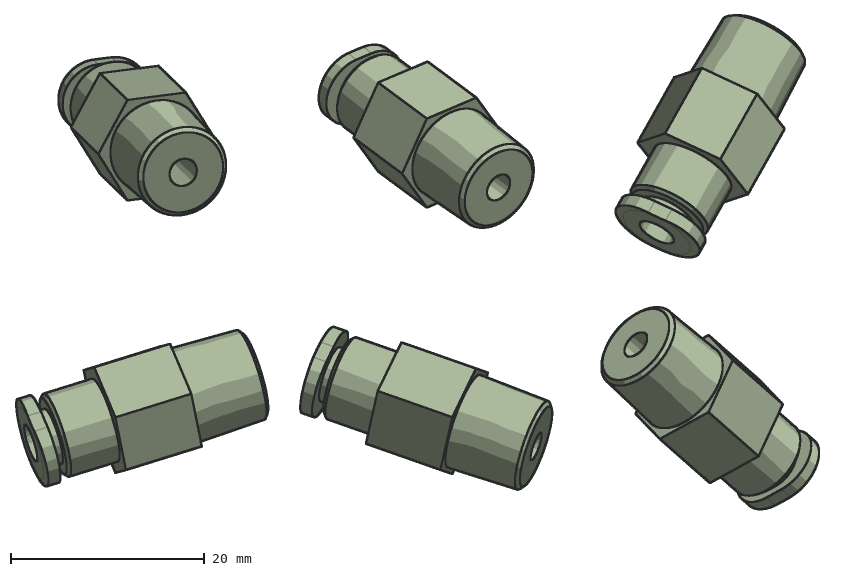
import cadquery as cq
import math

LENGTH = 24.5
COLLAR_END = 1.5
BODY_START = 2.45
HEX_START = 8.13
HEX_END = 16.46
SOCKET_DEPTH = 12.25

COLLAR_HEIGHT = 7.8
COLLAR_FLAT = 1.98
COLLAR_BEVEL_DEPTH = 0.17

NECK_DIAMETER = 5.95
BODY_DIAMETER = 9.0
BODY_CHAMFER = 0.37
HEX_ACROSS_FLATS = 11.1
THREAD_ROOT_DIAMETER = 10.17
THREAD_END_DIAMETER = 9.7
THREAD_CHAMFER_LENGTH = 0.37
THREAD_CHAMFER_HEIGHT = 0.47

SOCKET_DIAMETER = 3.97
BORE_DIAMETER = 3.0


def section(x):
    """YZ workplane at station x, extruding toward +X."""
    return cq.Workplane("YZ", origin=(x, 0, 0))


def cylinder(diameter, start, end):
    return section(start).circle(diameter / 2).extrude(end - start)


def collar():
    """Oblong collar whose front is bevelled by a cone down to a round face."""
    width = COLLAR_HEIGHT + COLLAR_FLAT
    oblong = section(0).slot2D(width, COLLAR_HEIGHT).extrude(COLLAR_END)
    bevelled_disc = (
        cq.Workplane("XY")
        .moveTo(0, 0)
        .lineTo(0, COLLAR_HEIGHT / 2)
        .lineTo(COLLAR_BEVEL_DEPTH, width / 2)
        .lineTo(COLLAR_END, width / 2)
        .lineTo(COLLAR_END, 0)
        .close()
        .revolve(360, (0, 0, 0), (1, 0, 0))
    )
    return oblong.intersect(bevelled_disc)


def body():
    return cylinder(BODY_DIAMETER, BODY_START, HEX_START).faces("<X").chamfer(BODY_CHAMFER)


def hexagon():
    """Hexagon with flats on top and bottom and corners on the Y axis."""
    across_corners = HEX_ACROSS_FLATS / math.cos(math.radians(30))
    return section(HEX_START).polygon(6, across_corners).extrude(HEX_END - HEX_START)


def tapered_thread():
    root_radius = THREAD_ROOT_DIAMETER / 2
    end_radius = THREAD_END_DIAMETER / 2
    return (
        cq.Workplane("XY")
        .moveTo(HEX_END, 0)
        .lineTo(HEX_END, root_radius)
        .lineTo(LENGTH - THREAD_CHAMFER_LENGTH, end_radius)
        .lineTo(LENGTH, end_radius - THREAD_CHAMFER_HEIGHT)
        .lineTo(LENGTH, 0)
        .close()
        .revolve(360, (0, 0, 0), (1, 0, 0))
    )


neck = cylinder(NECK_DIAMETER, COLLAR_END, BODY_START)
tube_socket = cylinder(SOCKET_DIAMETER, 0, SOCKET_DEPTH)
through_bore = cylinder(BORE_DIAMETER, 0, LENGTH)

outside = collar().union(neck).union(body()).union(hexagon()).union(tapered_thread())
result = outside.cut(tube_socket).cut(through_bore)